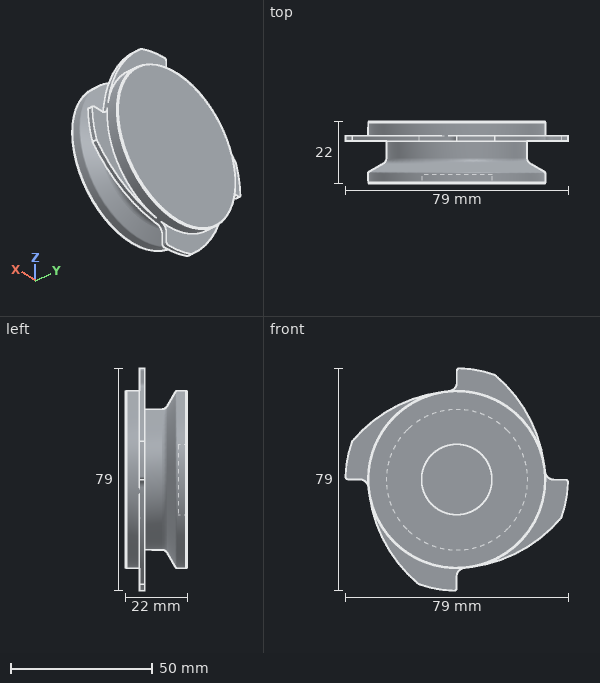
import cadquery as cq
import math

TOTAL_WIDTH = 22.0
DISK_RADIUS = 63.0 / 2
BACK_DISK_WIDTH = 5.0
PLATE_THICKNESS = 2.0
PLATE_FRONT_Y = TOTAL_WIDTH - BACK_DISK_WIDTH - PLATE_THICKNESS

NECK_RADIUS = 50.0 / 2
FLANGE_WIDTH = 4.0
CONE_ANGLE = 30.0
CONE_WIDTH = (DISK_RADIUS - NECK_RADIUS) * math.tan(math.radians(CONE_ANGLE))
CONE_ROOT_FILLET = 2.0
CONE_RIM_FILLET = 0.8

EDGE_CHAMFER_WIDTH = 0.5
EDGE_CHAMFER_DEPTH = 0.25

RECESS_RADIUS = 25.0 / 2
RECESS_DEPTH = 3.25

TOOTH_COUNT = 4
TOOTH_TIP_RADIUS = 39.5
TOOTH_TIP_ANGLE = 20.0
TOOTH_BACK_END_ANGLE = 80.0
TOOTH_BACK_RADIUS = 50.0
TIP_FILLET = 1.0
ROOT_FILLET = 3.0


def polar(radius, angle):
    """Point in the XZ plane, with the angle in degrees clockwise from +Z."""
    turn = math.radians(angle)
    return (radius * math.sin(turn), radius * math.cos(turn))


def clockwise_angle(point):
    """Angle of an XZ point in degrees clockwise from +Z."""
    return math.degrees(math.atan2(point[0], point[1]))


def offset(center, distance, angle):
    """Point at the given distance and clockwise angle from a center in the XZ plane."""
    step = polar(distance, angle)
    return (center[0] + step[0], center[1] + step[1])


def fillet_circle(body, radius, y, fillet_radius):
    """Round the circular edge of the given radius at the given Y position."""
    circle_edges = body.edges("%CIRCLE").filter(
        lambda edge: math.isclose(edge.radius(), radius) and math.isclose(edge.Center().y, y)
    )
    return circle_edges.fillet(fillet_radius)


def make_body():
    """Back disk with the round part of the plate, neck, cone and flange, revolved about Y."""
    chamfered_radius = DISK_RADIUS - EDGE_CHAMFER_DEPTH
    cone_root_y = FLANGE_WIDTH + CONE_WIDTH
    profile = [
        (0, 0),
        (chamfered_radius, 0),
        (DISK_RADIUS, EDGE_CHAMFER_WIDTH),
        (DISK_RADIUS, FLANGE_WIDTH),
        (NECK_RADIUS, cone_root_y),
        (NECK_RADIUS, PLATE_FRONT_Y),
        (DISK_RADIUS, PLATE_FRONT_Y),
        (DISK_RADIUS, TOTAL_WIDTH - EDGE_CHAMFER_WIDTH),
        (chamfered_radius, TOTAL_WIDTH),
        (0, TOTAL_WIDTH),
    ]
    body = cq.Workplane("XY").polyline(profile).close().revolve(360, (0, 0, 0), (0, 1, 0))
    body = fillet_circle(body, NECK_RADIUS, cone_root_y, CONE_ROOT_FILLET)
    return fillet_circle(body, DISK_RADIUS, FLANGE_WIDTH, CONE_RIM_FILLET)


def make_tooth():
    """One tooth with its straight flank on the +Z axis and its back falling clockwise."""
    root_center_distance = DISK_RADIUS + ROOT_FILLET
    root_center = (-ROOT_FILLET, math.sqrt(root_center_distance**2 - ROOT_FILLET**2))
    root_angle = clockwise_angle(root_center)
    root_start = polar(DISK_RADIUS, root_angle)
    root_end = (0, root_center[1])
    toward_flank = 90
    toward_disk = 180 + root_angle
    root_mid = offset(root_center, ROOT_FILLET, (toward_flank + toward_disk) / 2)

    tip_center_distance = TOOTH_TIP_RADIUS - TIP_FILLET
    tip_center = (TIP_FILLET, math.sqrt(tip_center_distance**2 - TIP_FILLET**2))
    tip_angle = clockwise_angle(tip_center)
    outward_from_flank = -90
    tip_mid = offset(tip_center, TIP_FILLET, (outward_from_flank + tip_angle) / 2)
    tip_start = polar(TOOTH_TIP_RADIUS, tip_angle)
    tip_arc_mid = polar(TOOTH_TIP_RADIUS, (tip_angle + TOOTH_TIP_ANGLE) / 2)
    tip_end = polar(TOOTH_TIP_RADIUS, TOOTH_TIP_ANGLE)

    back_end = polar(DISK_RADIUS, TOOTH_BACK_END_ANGLE)

    return (
        cq.Workplane("XZ", origin=(0, PLATE_FRONT_Y, 0))
        .moveTo(0, 0)
        .lineTo(*root_start)
        .threePointArc(root_mid, root_end)
        .lineTo(0, tip_center[1])
        .threePointArc(tip_mid, tip_start)
        .threePointArc(tip_arc_mid, tip_end)
        .radiusArc(back_end, TOOTH_BACK_RADIUS)
        .close()
        .extrude(-PLATE_THICKNESS)
    )


def make_recess():
    """Blind round recess cut into the front face."""
    return cq.Workplane("XZ").circle(RECESS_RADIUS).extrude(-RECESS_DEPTH)


part = make_body()
tooth = make_tooth()
for index in range(TOOTH_COUNT):
    part = part.union(tooth.rotate((0, 0, 0), (0, 1, 0), index * 360 / TOOTH_COUNT))
result = part.cut(make_recess())